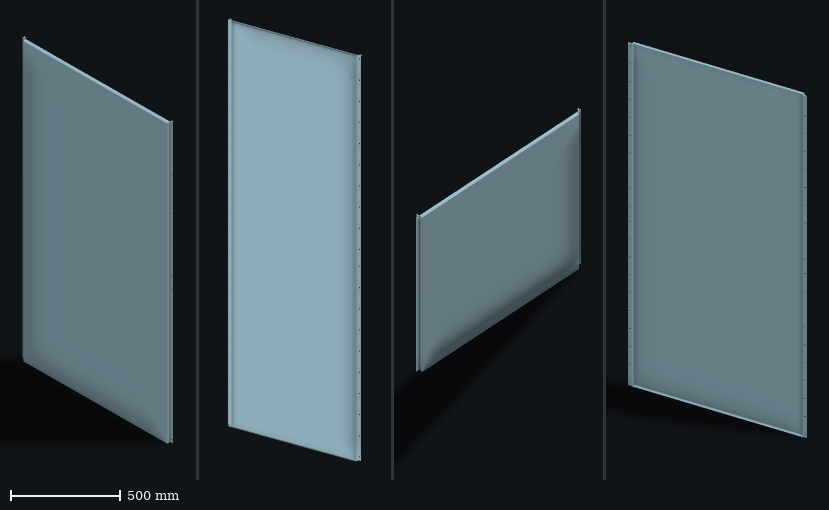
import cadquery as cq

total_width = 925.0
total_depth = 29.0
total_height = 1922.0

sheet = 2.0
bend_radius = 4.6
flange_bend_radius = 2.0
panel_width = 884.0
panel_depth = 18.8
rim_depth = panel_depth - sheet
hook_rise = 4.0
panel_height = total_height - hook_rise
flange_width = (total_width - panel_width) / 2
flange_bottom_gap = 4.0

hole_diameter = 6.7
hole_pitch = 100.0
holes_per_group = 10
hole_end_distance = 21.0

hook_width = 6.7
hook_length = 20.0

flange_center_x = (panel_width + flange_width) / 2


def make_tray():
    """Sheet tray open at the back, with rounded front edges."""
    outer = (
        cq.Workplane("XY")
        .box(panel_width, rim_depth, panel_height, centered=(True, False, False))
        .faces("<Y")
        .edges()
        .fillet(bend_radius)
    )
    return outer.faces(">Y").shell(-sheet)


def make_flange(side):
    """Flat strip along one back edge of the tray, overlapping its side wall."""
    strip_width = flange_width + sheet
    strip_height = panel_height - flange_bottom_gap
    return (
        cq.Workplane("XY")
        .box(strip_width, sheet, strip_height, centered=(True, False, False))
        .translate((side * (flange_center_x - sheet / 2), rim_depth, flange_bottom_gap))
    )


def round_flange_corner(panel, side):
    """Round the inside corner where the side wall meets the flange."""
    corner = (side * panel_width / 2, rim_depth, panel_height / 2)
    return panel.edges("|Z").edges(cq.NearestToPointSelector(corner)).fillet(flange_bend_radius)


def make_hook(side):
    """Tab that rises from the flange and rolls backward in a half circle."""
    front = rim_depth
    outer_radius = (total_depth - front) / 2
    inner_radius = outer_radius - sheet
    base = total_height - hook_length
    roll_y = front + outer_radius
    roll_z = total_height - outer_radius
    profile = (
        cq.Workplane("YZ")
        .moveTo(front, base)
        .lineTo(front, roll_z)
        .threePointArc((roll_y, total_height), (total_depth, roll_z))
        .lineTo(total_depth - sheet, roll_z)
        .threePointArc((roll_y, roll_z + inner_radius), (panel_depth, roll_z))
        .lineTo(panel_depth, base)
        .close()
    )
    return profile.extrude(hook_width / 2, both=True).translate((side * flange_center_x, 0, 0))


def make_holes():
    """Round holes through both flanges."""
    points = []
    for side in (-1, 1):
        for index in range(holes_per_group):
            from_end = hole_end_distance + index * hole_pitch
            points.append((side * flange_center_x, from_end))
            points.append((side * flange_center_x, total_height - from_end))
    return (
        cq.Workplane("XZ")
        .pushPoints(points)
        .circle(hole_diameter / 2)
        .extrude(-total_depth)
    )


result = make_tray()
for side in (-1, 1):
    result = result.union(make_flange(side))
    result = round_flange_corner(result, side)
    result = result.union(make_hook(side))
result = result.cut(make_holes())